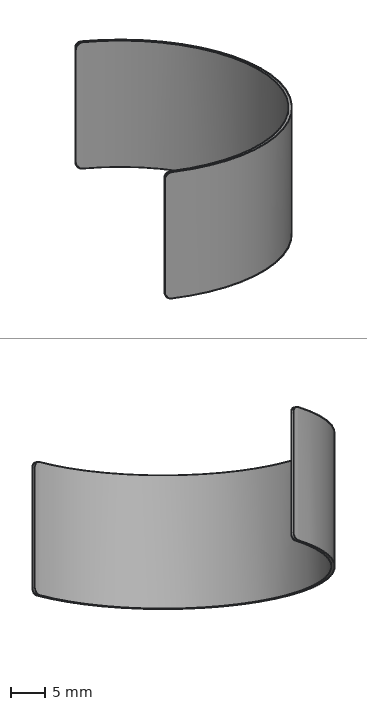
import cadquery as cq

outer_diameter = 50.0
thickness = 0.5
height = 20.0
corner_radius = 1.0

outer_radius = outer_diameter / 2
inner_radius = outer_radius - thickness


def half_ring():
    """Half of a thin tube on the +Y side, centred on the origin."""
    return (
        cq.Workplane("XY")
        .workplane(offset=-height / 2)
        .moveTo(outer_radius, 0)
        .threePointArc((0, outer_radius), (-outer_radius, 0))
        .lineTo(-inner_radius, 0)
        .threePointArc((0, inner_radius), (inner_radius, 0))
        .close()
        .extrude(height)
    )


result = half_ring().faces("<Y").edges("|X").fillet(corner_radius)